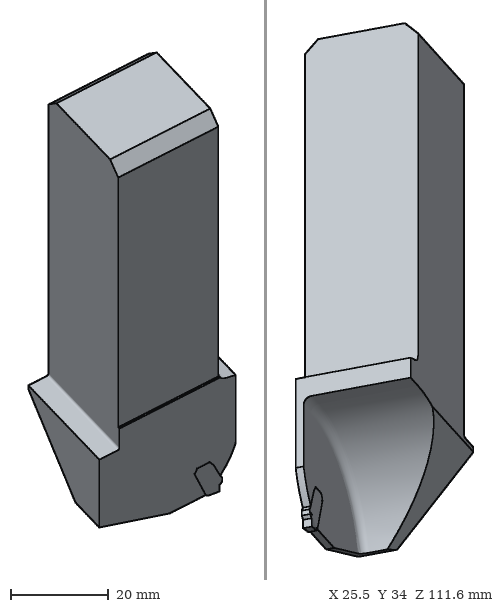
import cadquery as cq
import math

total_height = 111.6
shank_size = 25.0
head_width = 25.5
head_top = 34.0
shank_chamfer = 2.9

head_front = -5.0
head_back = 29.0
front_shoulder_height = 27.8
front_shoulder_fillet = 0.6
back_shoulder_height = 32.4
back_shoulder_angle = 15.0
back_shoulder_fillet = 1.7
blade_bottom = 1.0
blade_bottom_front = 12.5
front_bottom = 7.5
blade_back_bottom = 11.9
blade_corner_middle = (27.7, 8.6)
blade_corner_end = (25.2, 4.7)
blade_seat_end = 21.8

slope_top = 26.7
slope_end_x = 17.9
slope_end_z = 6.4

blade_thickness = 1.8
blade_face = head_width - blade_thickness
clearance_radius = 27.8
clearance_fillet = 1.8
clearance_axis_y = shank_size

tip = (25.0, 0.0)
bottom_corner = (22.1, 0.5)
insert_outline = [
    tip,
    bottom_corner,
    (21.5, 1.0),
    (18.7, 8.9),
    (19.4, 10.3),
    (22.5, 10.3),
    (23.5, 8.7),
    (25.2, 4.5),
    (25.7, 3.7),
    (25.7, 2.6),
    (25.0, 1.9),
]

flare_height = 0.2
flare_fold = [(22.2, 1.0), (24.3, 3.0), (25.7, 3.0)]
flare_edge = insert_outline[-2:]


def make_shank():
    """Square shank with its two top X edges chamfered."""
    shank = cq.Workplane("XY").box(shank_size, shank_size, total_height - head_top, centered=False)
    shank = shank.translate((0, 0, head_top))
    return shank.faces(">Z").edges("|Y").chamfer(shank_chamfer)


def make_head_block():
    """Head outline extruded across the full width, with filleted shoulders."""
    shoulder_rise = (head_back - shank_size) * math.tan(math.radians(back_shoulder_angle))
    shoulder_corner_height = back_shoulder_height + shoulder_rise
    outline_top = head_top + back_shoulder_fillet
    block = (
        cq.Workplane("YZ")
        .moveTo(head_front, front_bottom)
        .lineTo(head_front, front_shoulder_height)
        .lineTo(0, front_shoulder_height)
        .lineTo(0, outline_top)
        .lineTo(shank_size, outline_top)
        .lineTo(shank_size, shoulder_corner_height)
        .lineTo(head_back, back_shoulder_height)
        .lineTo(head_back, blade_back_bottom)
        .threePointArc(blade_corner_middle, blade_corner_end)
        .lineTo(blade_seat_end, blade_bottom)
        .lineTo(blade_bottom_front, blade_bottom)
        .close()
        .extrude(head_width)
    )
    front_corner = cq.NearestToPointSelector((head_width / 2, 0, front_shoulder_height))
    back_corner = cq.NearestToPointSelector((head_width / 2, shank_size, shoulder_corner_height))
    block = block.edges(front_corner).fillet(front_shoulder_fillet)
    block = block.edges(back_corner).fillet(back_shoulder_fillet)
    trim = cq.Workplane("XY").box(head_width, 2 * shank_size, total_height, centered=False)
    return block.cut(trim.translate((shank_size, head_front, head_top)))


def make_slope_cut():
    """Wedge that removes the head below its sloped side, clear of the blade."""
    slope = (slope_top - slope_end_z) / slope_end_x
    bottom_x = slope_top / slope
    return (
        cq.Workplane("XZ", origin=(0, head_back, 0))
        .polyline([(0, slope_top), (bottom_x, 0), (0, 0)])
        .close()
        .extrude(head_back - head_front)
    )


def make_clearance_cut():
    """Round clearance beside the blade, straight behind the arc centre, with a filleted floor."""
    arc = (
        cq.Workplane("YZ")
        .center(clearance_axis_y, 0)
        .circle(clearance_radius)
        .extrude(blade_face)
        .faces(">X")
        .edges()
        .fillet(clearance_fillet)
    )
    front_half = cq.Workplane("XY").box(
        blade_face, 2 * clearance_radius, 2 * clearance_radius, centered=(False, False, True)
    )
    arc = arc.intersect(front_half.translate((0, clearance_axis_y - 2 * clearance_radius, 0)))
    straight = cq.Workplane("XY").box(
        blade_face, head_back - clearance_axis_y, clearance_radius, centered=False
    )
    straight = straight.faces(">X").edges(">Z").fillet(clearance_fillet)
    return arc.union(straight.translate((0, clearance_axis_y, 0)))


def make_insert():
    """Slim tilted insert as thick as the blade, with a raised corner at the tip."""
    insert = cq.Workplane("YZ", origin=(blade_face, 0, 0)).polyline(insert_outline).close()
    insert = insert.extrude(blade_thickness)
    corner = cq.Workplane("YZ", origin=(blade_face, 0, 0))
    corner = corner.polyline([tip, bottom_corner, *flare_fold, *flare_edge]).close()
    corner = corner.extrude(-flare_height)
    (fold_y, fold_z), (fold_end_y, fold_end_z) = flare_fold[:2]
    fold_angle = math.atan2(fold_end_z - fold_z, fold_end_y - fold_y)
    tip_distance = (tip[0] - fold_y) * math.sin(fold_angle) - (tip[1] - fold_z) * math.cos(fold_angle)
    along_fold = cq.Vector(0, math.cos(fold_angle), math.sin(fold_angle))
    fold_plane = cq.Plane(
        origin=(blade_face, fold_y, fold_z),
        xDir=(0, math.sin(fold_angle), -math.cos(fold_angle)),
        normal=along_fold.toTuple(),
    )
    toward_shank = fold_plane.toLocalCoords(cq.Vector(blade_face - flare_height, fold_y, fold_z)).y
    wedge = (
        cq.Workplane(fold_plane)
        .polyline([(0, 0), (tip_distance, 0), (tip_distance, toward_shank)])
        .close()
        .extrude(head_width, both=True)
    )
    return insert.union(corner.intersect(wedge))


insert = make_insert()
holder = make_shank().union(make_head_block()).cut(make_slope_cut())
holder = holder.cut(make_clearance_cut()).cut(insert)

result = cq.Compound.makeCompound([*holder.solids().vals(), *insert.solids().vals()])